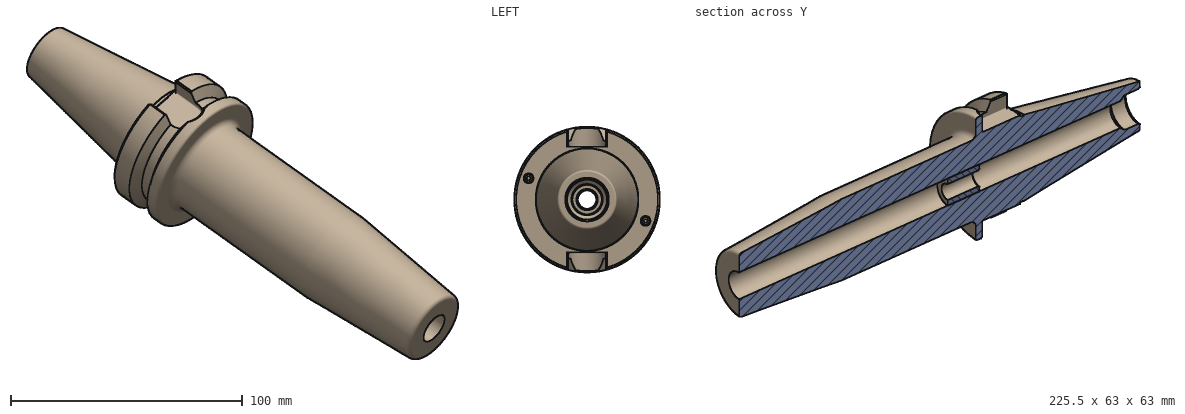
import cadquery as cq
import math

LENGTH = 225.5

GAUGE_DIA = 44.5
TAPER_END = 65.4
TAPER_RATE = 7 / 24
TAPER_SMALL_RADIUS = GAUGE_DIA / 2 - TAPER_END * TAPER_RATE / 2
TAPER_END_FILLET = 1.0
NECK_DIA = 44.0
NECK_FILLET = 0.7

FLANGE_DIA = 63.0
FLANGE_START = 67.5
FLANGE_END = 92.5
FLANGE_CHAMFER = 1.0
FLANGE_FILLET = 1.1
GROOVE_DIA = 53.0
GROOVE_CENTRE = 82.0
GROOVE_FLOOR_WIDTH = 4.7
GROOVE_WALL_ANGLE = 30

SHANK_DIA = 42.0
SHANK_FILLET = 2.7
NOSE_START = 167.7
NOSE_DIA = 33.0
NOSE_FILLET = 1.8

SLOT_WIDTH = 16.0
SLOT_FLOOR = 22.8
SLOT_TIP = 88.5
SLOT_CHAMFER = 0.7
SLOT_FLOOR_FILLET = 0.5

MOUTH_DIA = 19.0
MOUTH_DEPTH = 1.1
PILOT_DIA = 17.5
PILOT_DEPTH = 7.2
RELIEF_DIA = 17.1
RELIEF_DEPTH = 9.0
BORE_DIA = 13.5
BORE_CONE_ANGLE = 40

SCREW_START = 90.2
SCREW_LENGTH = 18.0
SCREW_HOLE_DIA = 8.0
SCREW_END_CHAMFER = 0.5
SCREW_HOLE_CHAMFER = 0.7

PLUG_DIA = 3.4
COUNTERSINK_DIA = 4.3
COUNTERSINK_DEPTH = 1.4
PLUG_FRONT = FLANGE_START + COUNTERSINK_DEPTH
PLUG_LENGTH = 4.5
PLUG_CIRCLE_RADIUS = 26.8
PLUG_ANGLES = [20, 200]
SOCKET_SIDES = 6
SOCKET_FLATS = 1.5
SOCKET_DEPTH = 1.8

TOLERANCE = 0.002


def revolve_about_x(points):
    return cq.Workplane("XY").polyline(points).close().revolve(360, (0, 0, 0), (1, 0, 0))


def taper_body():
    body = revolve_about_x([
        (0, 0),
        (0, TAPER_SMALL_RADIUS),
        (TAPER_END, GAUGE_DIA / 2),
        (TAPER_END, 0),
    ])
    return body.faces("<X").edges().fillet(TAPER_END_FILLET)


def flange():
    flange_r = FLANGE_DIA / 2
    groove_r = GROOVE_DIA / 2
    wall_run = (flange_r - groove_r) * math.tan(math.radians(GROOVE_WALL_ANGLE))
    floor_start = GROOVE_CENTRE - GROOVE_FLOOR_WIDTH / 2
    floor_end = GROOVE_CENTRE + GROOVE_FLOOR_WIDTH / 2
    body = revolve_about_x([
        (FLANGE_START, 0),
        (FLANGE_START, flange_r),
        (floor_start - wall_run, flange_r),
        (floor_start, groove_r),
        (floor_end, groove_r),
        (floor_end + wall_run, flange_r),
        (FLANGE_END, flange_r),
        (FLANGE_END, 0),
    ])
    body = body.faces("<X").edges().chamfer(FLANGE_CHAMFER)
    body = body.faces(">X").edges().fillet(FLANGE_FILLET)
    for side in (1, -1):
        body = body.cut(drive_slot(side))
    rims = [edge for edge in body.edges().vals() if is_slot_rim(edge)]
    body = body.newObject(rims).chamfer(SLOT_CHAMFER)
    corners = [edge for edge in body.edges().vals() if is_slot_floor_corner(edge)]
    return body.newObject(corners).fillet(SLOT_FLOOR_FILLET)


def is_slot_rim(edge):
    """True for the slot wall edges on the flange's front face, its chamfer and its outer cylinder."""
    centre = edge.Center()
    is_on_slot = abs(centre.y) < SLOT_WIDTH / 2 + TOLERANCE
    is_above_floor = abs(centre.z) > SLOT_FLOOR + TOLERANCE
    return is_on_slot and is_above_floor and all(
        abs(end.X - FLANGE_START) < TOLERANCE
        or abs(math.hypot(end.Y, end.Z) - FLANGE_DIA / 2) < TOLERANCE
        for end in edge.Vertices()
    )


def is_slot_floor_corner(edge):
    """True for the edges where a slot's floor meets its walls, behind the chamfered mouth."""
    is_on_floor = all(
        abs(abs(point.z) - SLOT_FLOOR) < TOLERANCE
        for point in (edge.startPoint(), edge.positionAt(0.5), edge.endPoint())
    )
    is_on_wall = edge.BoundingBox().xmin > FLANGE_START + SLOT_CHAMFER - TOLERANCE
    return is_on_floor and is_on_wall


def neck():
    neck_r = NECK_DIA / 2
    arc_offset = NECK_FILLET * (1 - math.sqrt(0.5))
    profile = (
        cq.Workplane("XY")
        .moveTo(TAPER_END, 0)
        .lineTo(TAPER_END, neck_r)
        .lineTo(FLANGE_START - NECK_FILLET, neck_r)
        .threePointArc(
            (FLANGE_START - arc_offset, neck_r + arc_offset),
            (FLANGE_START, neck_r + NECK_FILLET),
        )
        .lineTo(FLANGE_START, 0)
        .close()
    )
    return profile.revolve(360, (0, 0, 0), (1, 0, 0))


def shank():
    shank_r = SHANK_DIA / 2
    arc_offset = SHANK_FILLET * (1 - math.sqrt(0.5))
    profile = (
        cq.Workplane("XY")
        .moveTo(FLANGE_END, 0)
        .lineTo(FLANGE_END, shank_r + SHANK_FILLET)
        .threePointArc(
            (FLANGE_END + arc_offset, shank_r + arc_offset),
            (FLANGE_END + SHANK_FILLET, shank_r),
        )
        .lineTo(NOSE_START, shank_r)
        .lineTo(LENGTH, NOSE_DIA / 2)
        .lineTo(LENGTH, 0)
        .close()
    )
    body = profile.revolve(360, (0, 0, 0), (1, 0, 0))
    return body.faces(">X").edges().fillet(NOSE_FILLET)


def bore():
    cone_run = (RELIEF_DIA - BORE_DIA) / 2 / math.tan(math.radians(BORE_CONE_ANGLE))
    return revolve_about_x([
        (0, 0),
        (0, MOUTH_DIA / 2),
        (MOUTH_DEPTH, PILOT_DIA / 2),
        (PILOT_DEPTH, PILOT_DIA / 2),
        (RELIEF_DEPTH, RELIEF_DIA / 2),
        (RELIEF_DEPTH + cone_run, BORE_DIA / 2),
        (LENGTH, BORE_DIA / 2),
        (LENGTH, 0),
    ])


def drive_slot(side):
    arc_centre = SLOT_TIP - SLOT_WIDTH / 2
    height = FLANGE_DIA / 2
    return (
        cq.Workplane("XY", origin=(0, 0, side * SLOT_FLOOR))
        .moveTo(TAPER_END, -SLOT_WIDTH / 2)
        .lineTo(arc_centre, -SLOT_WIDTH / 2)
        .threePointArc((SLOT_TIP, 0), (arc_centre, SLOT_WIDTH / 2))
        .lineTo(TAPER_END, SLOT_WIDTH / 2)
        .close()
        .extrude(side * height)
    )


def plug_plane(angle, x):
    y = PLUG_CIRCLE_RADIUS * math.cos(math.radians(angle))
    z = PLUG_CIRCLE_RADIUS * math.sin(math.radians(angle))
    return cq.Workplane("YZ", origin=(x, y, z))


def plug_hole(angle):
    countersink = (
        plug_plane(angle, FLANGE_START)
        .circle(COUNTERSINK_DIA / 2)
        .workplane(offset=COUNTERSINK_DEPTH)
        .circle(PLUG_DIA / 2)
        .loft()
    )
    hole = plug_plane(angle, PLUG_FRONT).circle(PLUG_DIA / 2).extrude(PLUG_LENGTH)
    return countersink.union(hole)


def make_plug(angle):
    socket_corners = SOCKET_FLATS / math.cos(math.pi / SOCKET_SIDES)
    body = plug_plane(angle, PLUG_FRONT).circle(PLUG_DIA / 2).extrude(PLUG_LENGTH)
    socket = plug_plane(angle, PLUG_FRONT).polygon(SOCKET_SIDES, socket_corners).extrude(SOCKET_DEPTH)
    return body.cut(socket)


def make_screw():
    hole_r = SCREW_HOLE_DIA / 2
    screw_r = BORE_DIA / 2
    end = SCREW_START + SCREW_LENGTH
    return revolve_about_x([
        (SCREW_START, hole_r + SCREW_HOLE_CHAMFER),
        (SCREW_START, screw_r - SCREW_END_CHAMFER),
        (SCREW_START + SCREW_END_CHAMFER, screw_r),
        (end, screw_r),
        (end, hole_r),
        (SCREW_START + SCREW_HOLE_CHAMFER, hole_r),
    ])


def make_holder():
    body = taper_body().union(neck()).union(flange()).union(shank()).cut(bore())
    for angle in PLUG_ANGLES:
        body = body.cut(plug_hole(angle))
    return body


holder = make_holder()
screw = make_screw()
plugs = [make_plug(angle).val() for angle in PLUG_ANGLES]

result = cq.Compound.makeCompound([holder.val(), screw.val(), *plugs])